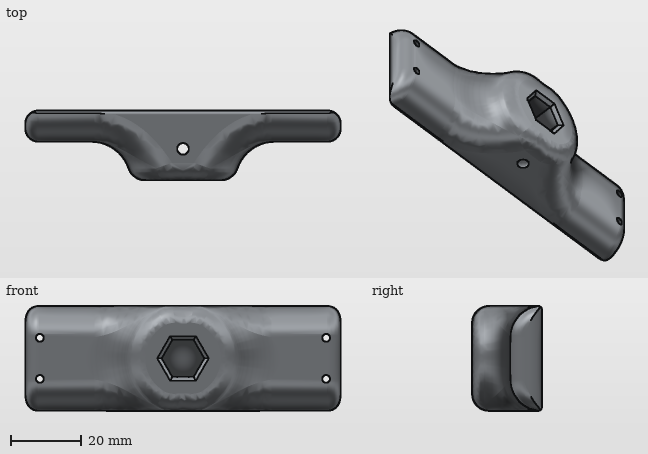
import cadquery as cq
import math

bar_length = 90.0
bar_width = bar_length / 3
wing_thickness = 9.0
total_depth = 20.0

boss_radius = bar_width / 2
flare_radius = total_depth - wing_thickness
boss_front_round = 5.0

long_edge_round = wing_thickness
end_round = 4.0
back_edge_round = 1.2

socket_flats = 10.5
socket_mouth_flats = 12.7
socket_bevel = (socket_mouth_flats - socket_flats) / 2
socket_depth = flare_radius

cross_hole_diameter = 3.2
cross_hole_y = -flare_radius

pin_hole_diameter = 2.2
pin_hole_spacing_x = 81.5
pin_hole_spacing_z = 11.7

back_allowance = 4.5

place_tolerance = 0.01


def flared_boss():
    """Turned boss about Y, cut to the width of the bar."""
    flare_foot = boss_radius + flare_radius
    turned = (
        cq.Workplane("XY")
        .lineTo(flare_foot, 0)
        .lineTo(flare_foot, -wing_thickness)
        .radiusArc((boss_radius, -total_depth), -flare_radius)
        .lineTo(0, -total_depth)
        .close()
        .revolve(360, (0, 0, 0), (0, 1, 0))
    )
    return turned.intersect(cq.Workplane("XY").box(bar_length, 2 * total_depth, bar_width))


def square_bar():
    """Square-edged bar, extended behind the back face."""
    thickness = wing_thickness + back_allowance
    return cq.Workplane("XY").box(bar_length, thickness, bar_width).translate(
        (0, back_allowance - thickness / 2, 0)
    )


def is_long_front_edge(edge):
    """True for the edges where a long side meets the wing fronts or the flare."""
    box = edge.BoundingBox()
    on_long_side = box.zlen < place_tolerance and abs(abs(box.zmin) - bar_width / 2) < place_tolerance
    return on_long_side and box.ymax < place_tolerance - wing_thickness


def is_end_front_edge(edge):
    """True for the edges around an end face, except the one at the back."""
    box = edge.BoundingBox()
    on_end = box.xlen < place_tolerance and abs(abs(box.xmin) - bar_length / 2) < place_tolerance
    return on_end and box.ymin < back_allowance - place_tolerance


def round_edges(body, is_wanted, radius):
    """Fillet the edges that the test accepts."""
    edges = [edge for edge in body.edges().vals() if is_wanted(edge)]
    return body.newObject(edges).fillet(radius)


def back_trim():
    """Block whose back edges carry the rounds of the bar's back face."""
    block = cq.Workplane("XY").box(bar_length, total_depth, bar_width)
    block = block.edges(">Y and |Z").fillet(end_round)
    block = block.edges(">Y and |X").fillet(back_edge_round)
    return block.translate((0, -total_depth / 2, 0))


def hex_corner_diameter(flats):
    """Diameter over the corners of a hexagon, from its width over the flats."""
    return flats / math.cos(math.radians(30))


def hex_socket():
    """Hexagonal socket with its corners along X and a bevel at the mouth."""
    front = cq.Workplane("XZ", origin=(0, -total_depth, 0))
    socket = front.polygon(6, hex_corner_diameter(socket_flats)).extrude(-socket_depth)
    mouth = (
        front.polygon(6, hex_corner_diameter(socket_mouth_flats))
        .workplane(offset=-socket_bevel)
        .polygon(6, hex_corner_diameter(socket_flats))
        .loft(ruled=True)
    )
    return socket.union(mouth)


def cross_hole():
    """Round hole through the boss and its socket along Z."""
    return cq.Workplane("XY").center(0, cross_hole_y).circle(cross_hole_diameter / 2).extrude(
        bar_width / 2, both=True
    )


def pin_holes():
    """Four round holes through the wings along Y."""
    return (
        cq.Workplane("XZ")
        .rarray(pin_hole_spacing_x, pin_hole_spacing_z, 2, 2)
        .circle(pin_hole_diameter / 2)
        .extrude(wing_thickness)
    )


body = square_bar().union(flared_boss())
body = round_edges(body, is_long_front_edge, long_edge_round)
body = body.faces("<Y").edges().fillet(boss_front_round)
body = round_edges(body, is_end_front_edge, end_round)
body = body.intersect(back_trim())

result = body.cut(hex_socket()).cut(cross_hole()).cut(pin_holes())